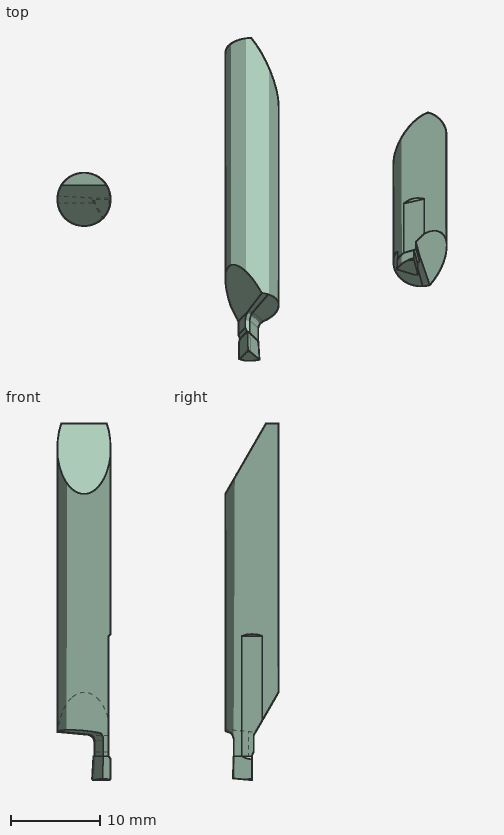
import cadquery as cq
import math

length = 40.0
radius = 3.0
bevel_slope = math.tan(math.radians(60))
top_flat_edge_y = 1.55

relief_x = 2.75
relief_top_z = 16.4

tip_height = 2.7
rake_y = 0.0
neck_back_y = 0.2
neck_step_z = 3.2
shoulder_outer_z = 5.45
shoulder_inner_z = 5.05
shoulder_lift = 0.09
shoulder_fillet = 0.7
neck_x = 1.15
pocket_back_y = 0.4
wall_break_y = -0.4
back_wall_lean = 0.13
front_wall_lean = 0.58
tip_x = 1.05
tip_break_x = 1.2
tip_flare = 0.15
wall_front_y = -5.4
tip_end_clearance = 0.5
tip_reach_y = -3.6
tip_corner = 0.15
tip_outer_chamfer = 0.35
margin = 2.0


def side_cutter(points):
    """Prism across the whole bar from a (y, z) outline."""
    return cq.Workplane("YZ").polyline(points).close().extrude(radius + margin, both=True)


def top_bevel():
    outer_y = -radius - margin
    outer_z = length - (top_flat_edge_y - outer_y) * bevel_slope
    above_z = length + margin
    above_y = top_flat_edge_y + margin / bevel_slope
    return side_cutter([(above_y, above_z), (outer_y, above_z), (outer_y, outer_z)])


def rake_clearance():
    outer_y = radius + margin
    outer_z = shoulder_inner_z + (outer_y - neck_back_y) * bevel_slope
    return side_cutter([
        (rake_y, -margin), (rake_y, tip_height), (neck_back_y, neck_step_z),
        (neck_back_y, shoulder_inner_z), (outer_y, outer_z), (outer_y, -margin),
    ])


def side_relief():
    step_z = relief_top_z - (radius - relief_x)
    return (
        cq.Workplane("XZ")
        .polyline([(relief_x, tip_height), (relief_x, step_z),
                   (relief_x + margin, step_z + margin),
                   (relief_x + margin, tip_height)])
        .close()
        .extrude(radius, both=True)
    )


def pocket_stretch(start_y, end_y, lean):
    """Space beside the neck, below the shoulder, between two depths."""
    if start_y > wall_break_y:
        wall_x = neck_x - lean * start_y
    else:
        wall_x = neck_x - back_wall_lean * wall_break_y
    shift_z = -shoulder_lift * start_y
    outer_x = -radius
    inner_z = shoulder_inner_z + shift_z
    outer_z = shoulder_outer_z + shift_z
    far_x = -2 * radius - margin
    slope = (outer_z - inner_z) / (wall_x - outer_x)
    far_z = outer_z + slope * (outer_x - far_x)
    arc_half = shoulder_fillet * (1 - math.sqrt(0.5))
    arc_x = wall_x - shoulder_fillet
    arc_z = inner_z + slope * shoulder_fillet
    profile = (
        cq.Workplane("XZ", origin=(0, start_y, 0))
        .moveTo(far_x, -margin)
        .lineTo(far_x, far_z)
        .lineTo(arc_x, arc_z)
        .threePointArc((wall_x - arc_half, inner_z - arc_half), (wall_x, inner_z - shoulder_fillet))
        .lineTo(wall_x, -margin)
        .close()
    )
    travel = start_y - end_y
    direction = cq.Vector(lean * travel, -travel, shoulder_lift * travel)
    return cq.Workplane(cq.Solid.extrudeLinear(profile.wire().val(), [], direction))


def make_shank():
    bar = cq.Workplane("XY").workplane(offset=tip_height).circle(radius).extrude(length - tip_height)
    bar = bar.cut(top_bevel()).cut(rake_clearance()).cut(side_relief())
    bar = bar.cut(pocket_stretch(pocket_back_y, wall_break_y, back_wall_lean))
    return bar.cut(pocket_stretch(wall_break_y, -radius - margin, front_wall_lean))


def tip_outline(flare, z):
    front_x = tip_break_x + (wall_break_y - tip_reach_y) * front_wall_lean
    return cq.Wire.makePolygon([
        cq.Vector(tip_x - flare, rake_y, z), cq.Vector(tip_break_x - flare, wall_break_y, z),
        cq.Vector(front_x - flare, tip_reach_y, z), cq.Vector(radius + margin, tip_reach_y, z),
        cq.Vector(radius + margin, rake_y, z),
    ], close=True)


def tip_face_limits():
    """Front outline of the tip, with its corner bevels and lead-in to the relief."""
    left_x = tip_x - tip_flare
    return (
        cq.Workplane("XZ")
        .polyline([
            (left_x + tip_corner, 0), (radius - tip_corner, 0), (radius, tip_corner),
            (radius, tip_height - tip_outer_chamfer), (relief_x, tip_height),
            (left_x, tip_height), (left_x, tip_corner),
        ])
        .close()
        .extrude(-tip_reach_y)
    )


def end_clearance():
    return side_cutter([
        (rake_y, 0), (-radius, tip_end_clearance * radius / -wall_front_y),
        (-radius, -margin), (rake_y, -margin),
    ])


def make_tip():
    tapered = cq.Solid.makeLoft([tip_outline(tip_flare, 0), tip_outline(0, tip_height)], True)
    round_stock = cq.Workplane("XY").circle(radius).extrude(tip_height)
    tip = round_stock.intersect(cq.Workplane(tapered))
    return tip.intersect(tip_face_limits()).cut(end_clearance())


shank = make_shank()
tip = make_tip()
result = cq.Compound.makeCompound([shank.val(), tip.val()])